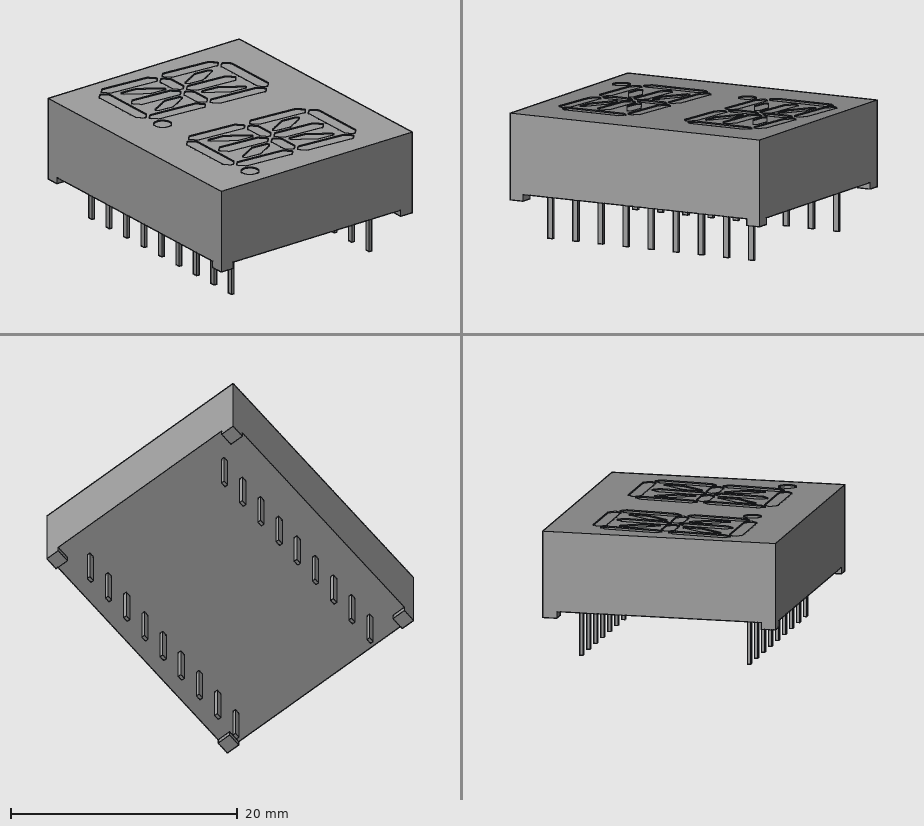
import cadquery as cq
import math

body_length = 25.22
body_width = 21.16
overall_height = 11.51
body_height = 7.8
foot_height = 0.6
foot_size = 1.3

pin_count = 9
pin_pitch = 2.54
row_spacing = 15.24
pin_width = 0.5
pin_thickness = 0.3

digit_pitch = 12.72
digit_pair_x = -0.41
slant = math.tan(math.radians(5))
engraving_depth = 0.1
corner_radius = 0.25

column_x = 3.5
row_y = 6.32
bar_width = 1.2
stem_width = 1.3
bar_gap = 0.2
middle_bar_gap = 0.17
stem_start = 0.25
stem_end = 5.48

diagonal_x = column_x / 2
diagonal_width = 1.6
falling_y = 2.8
falling_height = 2.2
falling_slope = -1.55
rising_y = 2.95
rising_height = 2.44
rising_slope = 1.72

point_x = 4.65
point_y = -5.87
point_diameter = 1.6


def make_housing():
    """Block with its underside cut away in a cross, which leaves the four feet."""
    block = cq.Workplane("XY").box(body_length, body_width, body_height, centered=(True, True, False))
    for length, width in (
        (body_length - 2 * foot_size, body_width),
        (body_length, body_width - 2 * foot_size),
    ):
        block = block.cut(cq.Workplane("XY").box(length, width, foot_height, centered=(True, True, False)))
    return block


def make_pins():
    """Both rows of rectangular pins, from the housing underside down."""
    return (
        cq.Workplane("XY")
        .workplane(offset=body_height - overall_height)
        .rarray(pin_pitch, row_spacing, pin_count, 2)
        .rect(pin_width, pin_thickness)
        .extrude(overall_height - body_height + foot_height)
    )


def engraving(outline):
    """Prism on the given corner points with rounded corners, reaching up to the top face."""
    return (
        cq.Workplane("XY")
        .workplane(offset=body_height - engraving_depth)
        .polyline(outline)
        .close()
        .extrude(engraving_depth)
        .edges("|Z")
        .fillet(corner_radius)
    )


def horizontal_bar(x_start, x_end, y):
    """Bar along X with 45 degree points; only its position follows the slant."""
    half = bar_width / 2
    left = x_start + slant * y
    right = x_end + slant * y
    return engraving([
        (left, y),
        (left + half, y + half),
        (right - half, y + half),
        (right, y),
        (right - half, y - half),
        (left + half, y - half),
    ])


def upright_bar(x, y_start, y_end, width):
    """Slanted bar between two heights, with 45 degree points at both ends."""
    half = width / 2
    near_drop = half / (1 + slant)
    far_drop = half / (1 - slant)
    corners = [
        (x, y_end),
        (x + half, y_end - near_drop),
        (x + half, y_start + far_drop),
        (x, y_start),
        (x - half, y_start + near_drop),
        (x - half, y_end - far_drop),
    ]
    return engraving(slanted(corners))


def diagonal_bar(x, y, height, slope):
    """Slanted parallelogram with two upright sides of the given height."""
    half_width = diagonal_width / 2
    half_height = height / 2
    rise = slope * half_width
    corners = [
        (x - half_width, y - rise - half_height),
        (x + half_width, y + rise - half_height),
        (x + half_width, y + rise + half_height),
        (x - half_width, y - rise + half_height),
    ]
    return engraving(slanted(corners))


def slanted(corners):
    """Lean the points to the right in proportion to their height."""
    return [(x + slant * y, y) for x, y in corners]


def half_digit():
    """Segments of the upper half, with the right-hand middle bar."""
    bar_reach = column_x - bar_gap
    upright_ends = (bar_gap, row_y - bar_gap)
    return [
        horizontal_bar(-bar_reach, bar_reach, row_y),
        horizontal_bar(middle_bar_gap, bar_reach, 0),
        upright_bar(-column_x, *upright_ends, bar_width),
        upright_bar(column_x, *upright_ends, bar_width),
        upright_bar(0, stem_start, stem_end, stem_width),
        diagonal_bar(-diagonal_x, falling_y, falling_height, falling_slope),
        diagonal_bar(diagonal_x, rising_y, rising_height, rising_slope),
    ]


def decimal_point():
    return (
        cq.Workplane("XY")
        .workplane(offset=body_height - engraving_depth)
        .center(point_x, point_y)
        .circle(point_diameter / 2)
        .extrude(engraving_depth)
    )


def engrave_digit(body, centre_x):
    """Cut one digit: a half digit, the same half turned by 180 degrees, and the point."""
    for segment in half_digit():
        turned = segment.rotate((0, 0, 0), (0, 0, 1), 180)
        body = body.cut(segment.translate((centre_x, 0, 0)))
        body = body.cut(turned.translate((centre_x, 0, 0)))
    return body.cut(decimal_point().translate((centre_x, 0, 0)))


result = make_housing().union(make_pins())
for side in (-1, 1):
    result = engrave_digit(result, digit_pair_x + side * digit_pitch / 2)